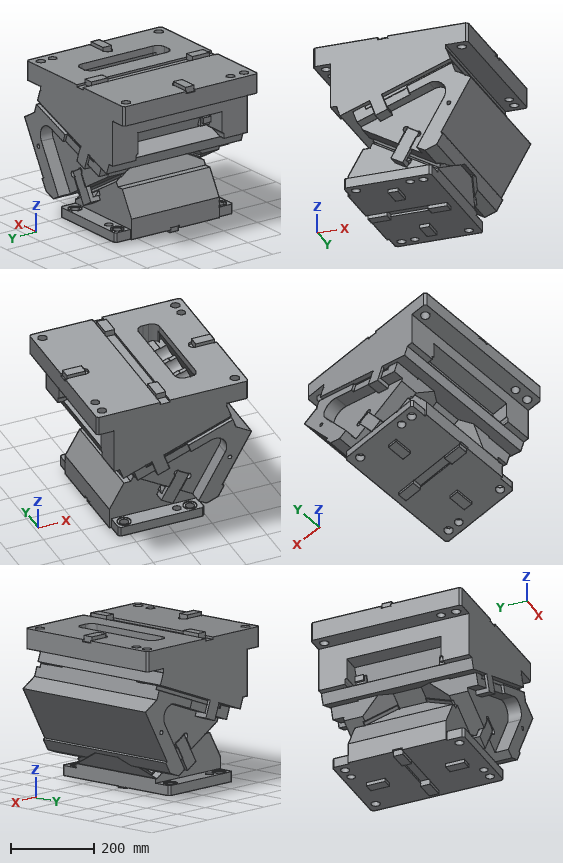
import cadquery as cq
import math


DRIVE_ANGLE = 20
BASE_ANGLE = 30



def along_drive(distance):
    """Line across the driver slideway, at a distance measured along it."""
    return DRIVE_ANGLE, distance


def above_drive(distance):
    """Line parallel to the driver slideway, at a height measured square to it."""
    return DRIVE_ANGLE + 90, distance


def along_base(distance):
    """Line across the base slideway, at a distance measured along it."""
    return -BASE_ANGLE, distance


def above_base(distance):
    """Line parallel to the base slideway, at a height measured square to it."""
    return 90 - BASE_ANGLE, distance


def at_x(distance):
    """Vertical line in the XZ plane."""
    return 0, distance


def at_z(distance):
    """Horizontal line in the XZ plane."""
    return 90, distance


def corner(first, second):
    """XZ point where two lines meet, each given by its normal's angle and its distance from the origin."""
    angle_1, angle_2 = math.radians(first[0]), math.radians(second[0])
    spread = math.sin(angle_2 - angle_1)
    x = (first[1] * math.sin(angle_2) - second[1] * math.sin(angle_1)) / spread
    z = (second[1] * math.cos(angle_1) - first[1] * math.cos(angle_2)) / spread
    return x, z


def outline(*lines):
    """Corners of the closed XZ outline that follows the given lines in order."""
    return [corner(line, lines[i - 1]) for i, line in enumerate(lines)]


def prism(points, y_min, y_max):
    """XZ outline extruded from y_min to y_max."""
    return cq.Workplane("XZ", origin=(0, y_max, 0)).polyline(points).close().extrude(y_max - y_min)


def wide_prism(points, half_width):
    return prism(points, -half_width, half_width)


def both_sides(shape):
    """A shape on the +Y side together with its mirror image."""
    return shape.union(shape.mirror("XZ"))


def block(x_min, x_max, y_min, y_max, z_min, z_max):
    size = (x_max - x_min, y_max - y_min, z_max - z_min)
    return cq.Workplane("XY", origin=(x_min, y_min, z_min)).box(*size, centered=False)


def base_way_prism(points, start, end):
    """Outline of (Y, height above base slideway) extruded along the base slideway."""
    slope = math.radians(BASE_ANGLE)
    direction = cq.Vector(math.cos(slope), 0, -math.sin(slope))
    plane = cq.Plane(origin=direction * start, xDir=(0, 1, 0), normal=direction)
    return cq.Workplane(plane).polyline(points).close().extrude(end - start)



HALF_WIDTH = 200.0
PLATE_LEFT = -180.0
PLATE_RIGHT = 220.0
PLATE_TOP = 375.0
PLATE_THICKNESS = 50.0
CORNER_CHAMFER = 5.5

KEY_WIDTH = 25.5
KEY_LENGTH = 50.0
KEY_PROUD = 9.0
KEY_SLOT_DEPTH = 5.7

DRIVE_WAY = 209.0
DRIVE_END = 262.0

BASE_HALF_WIDTH = 130.2
ROOF_FLAT_HALF_WIDTH = 37.0
ROOF_EAVES = 86.5
ROOF_ANGLE = math.radians(30)
ROOF_SLOPE = math.tan(ROOF_ANGLE)
ROOF_TOP = ROOF_EAVES + (BASE_HALF_WIDTH - ROOF_FLAT_HALF_WIDTH) * ROOF_SLOPE
ROOF_START = -111.0
ROOF_END = 78.8

SLIDER_START = -9.5
RUNNING_CLEARANCE = 2.5
SLIDER_TOP = DRIVE_WAY - RUNNING_CLEARANCE
SLIDER_BOTTOM = 100.0
LEDGE_HALF_WIDTH = 193.0
LEDGE_UNDERSIDE = 175.5
RECESS_HALF_WIDTH = 165.0

HOOK_START = 39.5
HOOK_END = 73.0
HOOK_BOTTOM = 164.0

KEEPER_START = -27.0
KEEPER_END = 7.8
KEEPER_BOTTOM = 61.0
KEEPER_TOP = 146.5
KEEPER_LIP_TOP = 72.5
KEEPER_INNER = 150.5
KEEPER_LIP_INNER = 134.5
KEEPER_OUTER = 162.5



LEFT_KEY_START = -175.5
RIGHT_KEY_START = 164.5
STEM_LEFT = -135.0
STEM_BOTTOM = 210.0
STEM_RIGHT = 163.0
STEM_NECK = 314.7
STEM_START = -41.0
WINDOW_TOP = 279.5
WINDOW_FLOOR = 238.5
WINDOW_BACK = 11.0
WINDOW_HALF_WIDTH = 125.0
WINDOW_FOOT_HALF_WIDTH = BASE_HALF_WIDTH
WINDOW_SHOULDER = 220.0
WINDOW_BLOCK_BACK = -41.0
SLOT_LEFT = 67.0
SLOT_RIGHT = 122.0
SLOT_HALF_LENGTH = 125.5
SLOT_RADIUS = 20.0
UNDERCUT_HALF_LENGTH = 114.5
SLOT_FLOOR = 269.5
SLOT_STEP = 219.2
SLOT_STEP_DEPTH = 1.5
SLOT_BACK = 236.8
BED_RADIUS = 24.0
BED_PITCH = 60.0


def driver_body():
    plate_bottom = PLATE_TOP - PLATE_THICKNESS
    plate = block(PLATE_LEFT, PLATE_RIGHT, -HALF_WIDTH, HALF_WIDTH, plate_bottom, PLATE_TOP)
    plate = plate.edges("|Z").chamfer(CORNER_CHAMFER)
    stem = outline(
        at_x(STEM_LEFT),
        at_z(STEM_BOTTOM),
        along_drive(STEM_START),
        above_drive(DRIVE_WAY),
        along_drive(DRIVE_END),
        at_z(STEM_NECK),
        at_x(STEM_RIGHT),
        at_z(plate_bottom),
    )
    return plate.union(wide_prism(stem, HALF_WIDTH))


def driver_hook():
    """Tongue over the slider's side ledge, with a lip below it."""
    tongue = outline(
        along_drive(HOOK_START),
        above_drive(HOOK_BOTTOM),
        along_drive(HOOK_END),
        above_drive(DRIVE_WAY),
    )
    lip = outline(
        along_drive(HOOK_START),
        above_drive(HOOK_BOTTOM),
        along_drive(HOOK_END),
        above_drive(LEDGE_UNDERSIDE),
    )
    hook = prism(tongue, LEDGE_HALF_WIDTH, HALF_WIDTH).union(prism(lip, RECESS_HALF_WIDTH, HALF_WIDTH))
    return both_sides(hook)


def window_blocks():
    """Stepped blocks in both corners of the window's back wall."""
    top = 254.7
    rear_face, rear_inner, rear_bottom = -84.0, 97.0, 232.5
    front_face, front_inner, front_bottom = -90.0, 102.0, 239.5
    rear_block = block(rear_face, WINDOW_BLOCK_BACK, rear_inner, WINDOW_HALF_WIDTH, rear_bottom, top)
    front_block = block(front_face, WINDOW_BLOCK_BACK, front_inner, WINDOW_HALF_WIDTH, front_bottom, top)
    return both_sides(rear_block.union(front_block))


def driver_window():
    """Opening in the -X side with a rising floor, a back wall square to it and a wider foot."""
    profile = outline(
        at_x(STEM_LEFT),
        at_z(STEM_BOTTOM),
        above_drive(WINDOW_FLOOR),
        along_drive(WINDOW_BACK),
        at_z(WINDOW_TOP),
    )
    radius = WINDOW_FOOT_HALF_WIDTH - WINDOW_HALF_WIDTH
    diagonal = radius * math.sqrt(0.5)
    shoulder = WINDOW_SHOULDER
    opening = (
        cq.Workplane("YZ", origin=(STEM_LEFT, 0, 0))
        .moveTo(-WINDOW_FOOT_HALF_WIDTH, STEM_BOTTOM)
        .lineTo(WINDOW_FOOT_HALF_WIDTH, STEM_BOTTOM)
        .lineTo(WINDOW_FOOT_HALF_WIDTH, shoulder)
        .threePointArc(
            (WINDOW_HALF_WIDTH + diagonal, shoulder + diagonal),
            (WINDOW_HALF_WIDTH, shoulder + radius),
        )
        .lineTo(WINDOW_HALF_WIDTH, WINDOW_TOP)
        .lineTo(-WINDOW_HALF_WIDTH, WINDOW_TOP)
        .lineTo(-WINDOW_HALF_WIDTH, shoulder + radius)
        .threePointArc(
            (-WINDOW_HALF_WIDTH - diagonal, shoulder + diagonal),
            (-WINDOW_FOOT_HALF_WIDTH, shoulder),
        )
        .close()
        .extrude(PLATE_RIGHT - STEM_LEFT)
    )
    return wide_prism(profile, WINDOW_FOOT_HALF_WIDTH).intersect(opening).cut(window_blocks())


def drive_cylinder(y, height, radius, start, end):
    """Cylinder along the driver slideway, with its axis at a given height above it."""
    slope = math.radians(DRIVE_ANGLE)
    x, z = corner(along_drive(start), above_drive(height))
    direction = cq.Vector(math.cos(slope), 0, math.sin(slope))
    return cq.Workplane(cq.Solid.makeCylinder(radius, end - start, cq.Vector(x, y, z), direction))


def driver_slot():
    """Round-cornered slot in the top, with a rising floor, an undercut +X wall and three spring beds."""
    space = outline(
        at_x(SLOT_LEFT),
        above_drive(SLOT_FLOOR),
        along_drive(SLOT_STEP),
        above_drive(SLOT_FLOOR - SLOT_STEP_DEPTH),
        along_drive(SLOT_BACK),
        at_x(SLOT_RIGHT),
        at_z(PLATE_TOP),
    )
    shaft = block(
        SLOT_LEFT, SLOT_RIGHT, -SLOT_HALF_LENGTH, SLOT_HALF_LENGTH, STEM_BOTTOM, PLATE_TOP
    ).edges("|Z").fillet(SLOT_RADIUS)
    undercut = outline(at_x(SLOT_RIGHT), above_drive(SLOT_FLOOR - SLOT_STEP_DEPTH), along_drive(SLOT_BACK))
    cavity = shaft.intersect(wide_prism(space, SLOT_HALF_LENGTH))
    cavity = cavity.union(wide_prism(undercut, UNDERCUT_HALF_LENGTH))
    bed_limits = block(
        SLOT_LEFT, PLATE_RIGHT, -SLOT_HALF_LENGTH, SLOT_HALF_LENGTH, STEM_BOTTOM, PLATE_TOP
    )
    bed_start = SLOT_STEP - 2 * (SLOT_RIGHT - SLOT_LEFT)
    for row in (-1, 0, 1):
        bed = drive_cylinder(row * BED_PITCH, SLOT_FLOOR, BED_RADIUS, bed_start, SLOT_BACK)
        cavity = cavity.union(bed.intersect(bed_limits))
    return cavity


def driver_holes():
    bolt_y = 175.0
    left_x, right_x = -155.5, 195.0
    left_dowel_y, right_dowel_y = -135.0, 140.5
    bolt_diameter, dowel_diameter = 22.5, 21.0
    bolts = [(x, y) for x in (left_x, right_x) for y in (-bolt_y, bolt_y)]
    dowels = [(left_x, left_dowel_y), (right_x, right_dowel_y)]
    plane = cq.Workplane("XY", origin=(0, 0, PLATE_TOP))
    return (
        plane.pushPoints(bolts).circle(bolt_diameter / 2).extrude(-PLATE_THICKNESS)
        .union(plane.pushPoints(dowels).circle(dowel_diameter / 2).extrude(-PLATE_THICKNESS))
    )


def driver_key_slots():
    half_key = KEY_WIDTH / 2
    bottom = PLATE_TOP - KEY_SLOT_DEPTH
    slots = block(-half_key, half_key, -HALF_WIDTH, HALF_WIDTH, bottom, PLATE_TOP)
    for inner_x, edge_x in ((LEFT_KEY_START + KEY_LENGTH, PLATE_LEFT), (RIGHT_KEY_START, PLATE_RIGHT)):
        x_min, x_max = sorted((inner_x, edge_x))
        slots = slots.union(block(x_min, x_max, -half_key, half_key, bottom, PLATE_TOP))
        round_end = cq.Workplane("XY", origin=(inner_x, 0, bottom)).circle(half_key).extrude(KEY_SLOT_DEPTH)
        slots = slots.union(round_end)
    return slots


def driver_keys():
    half_key = KEY_WIDTH / 2
    bottom = PLATE_TOP - KEY_SLOT_DEPTH
    top = PLATE_TOP + KEY_PROUD
    cross_inner = 125.5
    keys = both_sides(block(-half_key, half_key, cross_inner, cross_inner + KEY_LENGTH, bottom, top))
    for x_min in (LEFT_KEY_START, RIGHT_KEY_START):
        keys = keys.union(block(x_min, x_min + KEY_LENGTH, -half_key, half_key, bottom, top))
    return keys


def make_driver():
    return (
        driver_body()
        .union(driver_hook())
        .cut(driver_window())
        .cut(driver_slot())
        .cut(driver_holes())
        .cut(driver_key_slots())
        .union(driver_keys())
    )



BACK_WALL = 83.5
BACK_TOP = 311.5
BACK_STEP = 156.8
BACK_STEP_OUT = 5.7
TAIL_UNDERSIDE = 12.0
RECESS_WALL = 44.0
RECESS_RADIUS = 31.0
BAND_BOTTOM = 196.8
BAND_START = 23.0
BAND_HALF_WIDTH = 190.0
CHEEK_START = 137.0
GROOVE_CLEARANCE = 4.0
WEAR_PLATE_THICKNESS = 9.0
WEAR_PLATE_OUTER = 116.8
WEAR_PLATE_START = -120.0
WEAR_PAD_HALF_WIDTH = 122.5


def slider_body():
    profile = outline(
        along_drive(SLIDER_START),
        above_drive(SLIDER_TOP),
        along_drive(DRIVE_END),
        above_base(BACK_TOP),
        along_base(BACK_WALL),
        above_base(BACK_STEP),
        along_base(BACK_WALL + BACK_STEP_OUT),
        above_drive(TAIL_UNDERSIDE),
        above_base(SLIDER_BOTTOM),
    )
    pad = outline(
        along_drive(SLIDER_START),
        above_drive(SLIDER_TOP),
        along_drive(DRIVE_END),
        above_drive(DRIVE_WAY),
    )
    return wide_prism(profile, HALF_WIDTH).union(wide_prism(pad, WEAR_PAD_HALF_WIDTH))


def slider_side_cuts():
    """Recess below the ledge, narrowed ledge for the hook, and thin band along the slide face."""
    recess = prism(
        outline(
            along_drive(SLIDER_START),
            above_drive(LEDGE_UNDERSIDE),
            along_base(RECESS_WALL),
            above_base(KEEPER_BOTTOM),
        ),
        RECESS_HALF_WIDTH,
        HALF_WIDTH,
    ).edges("|Y").edges(">X").fillet(RECESS_RADIUS)
    ledge = outline(
        along_drive(SLIDER_START),
        above_drive(LEDGE_UNDERSIDE),
        along_drive(CHEEK_START),
        above_drive(DRIVE_WAY),
    )
    band = outline(
        along_drive(BAND_START),
        above_drive(BAND_BOTTOM),
        along_drive(DRIVE_END),
        above_drive(DRIVE_WAY),
    )
    cuts = recess.union(prism(ledge, LEDGE_HALF_WIDTH, HALF_WIDTH))
    cuts = cuts.union(prism(band, BAND_HALF_WIDTH, HALF_WIDTH))
    pin_x, pin_z, pin_radius, pin_depth = 171.0, 169.0, 5.0, 35.0
    pin_hole = (
        cq.Workplane("XZ", origin=(pin_x, HALF_WIDTH, pin_z)).circle(pin_radius).extrude(pin_depth)
    )
    return both_sides(cuts.union(pin_hole))


def roof_height(y, offset):
    """Height at y of the sloping roof face, raised by an offset square to it."""
    return ROOF_EAVES + (BASE_HALF_WIDTH - y) * ROOF_SLOPE + offset * math.hypot(1, ROOF_SLOPE)


def slider_groove():
    """Roof-shaped groove along the base slideway."""
    y_top = ROOF_FLAT_HALF_WIDTH
    y_low = HALF_WIDTH
    low = roof_height(y_low, GROOVE_CLEARANCE)
    top = roof_height(y_top, GROOVE_CLEARANCE)
    points = [(-y_low, low), (-y_top, top), (y_top, top), (y_low, low)]
    return base_way_prism(points, -2 * HALF_WIDTH, 2 * HALF_WIDTH)


def slider_wear_plates():
    """Plates on both groove slopes that rest on the roof."""
    roof_rise = WEAR_PLATE_THICKNESS * math.hypot(1, ROOF_SLOPE)
    shift = WEAR_PLATE_THICKNESS * math.sin(ROOF_ANGLE)
    edge_rise = WEAR_PLATE_THICKNESS * math.cos(ROOF_ANGLE)
    low, high = roof_height(WEAR_PLATE_OUTER, 0), ROOF_TOP
    points = [
        (WEAR_PLATE_OUTER, low),
        (ROOF_FLAT_HALF_WIDTH, high),
        (ROOF_FLAT_HALF_WIDTH, high + roof_rise),
        (WEAR_PLATE_OUTER + shift, low + edge_rise),
    ]
    return both_sides(base_way_prism(points, WEAR_PLATE_START, ROOF_END))


def slider_keepers():
    """L-shaped keepers whose lips reach under the base's side catches."""
    points = [
        (KEEPER_OUTER, KEEPER_TOP),
        (KEEPER_OUTER, KEEPER_BOTTOM),
        (KEEPER_LIP_INNER, KEEPER_BOTTOM),
        (KEEPER_LIP_INNER, KEEPER_LIP_TOP),
        (KEEPER_INNER, KEEPER_LIP_TOP),
        (KEEPER_INNER, KEEPER_TOP),
    ]
    return both_sides(base_way_prism(points, KEEPER_START, KEEPER_END))


def keeper_pockets():
    """Pockets in the recess floor that the keepers sit in, with round corner reliefs."""
    radius, drop = 7.5, 5.7
    pocket = outline(
        along_base(KEEPER_START),
        above_base(KEEPER_BOTTOM),
        along_base(KEEPER_END),
        above_base(KEEPER_TOP),
    )
    centres = [
        corner(along_base(u), above_base(KEEPER_TOP - drop)) for u in (KEEPER_START, KEEPER_END)
    ]
    reliefs = (
        cq.Workplane("XZ", origin=(0, RECESS_HALF_WIDTH, 0)).pushPoints(centres).circle(radius)
        .extrude(RECESS_HALF_WIDTH - KEEPER_INNER)
    )
    return both_sides(reliefs.union(prism(pocket, KEEPER_INNER, RECESS_HALF_WIDTH)))


def make_slider():
    return (
        slider_body()
        .cut(slider_side_cuts())
        .cut(slider_groove())
        .cut(keeper_pockets())
        .union(slider_wear_plates())
        .union(slider_keepers())
    )



BASE_LEFT = -116.0
BASE_RIGHT = 115.5
BASE_NOSE = 53.0
BASE_SHELF = 118.8
BASE_SHELF_LEFT = -77.5
BASE_RIGHT_KEY_START = 44.5
CATCH_HALF_WIDTH = 145.7
CATCH_TOP = 85.0
FLANGE_LEFT = -110.5
FLANGE_HALF_WIDTH = 175.0
FLANGE_THICKNESS = 25.0


def base_body():
    """Block with a nose and shelf at -X, topped by a sloping roof-shaped slideway."""
    roof_foot = corner(along_base(ROOF_END), above_base(ROOF_EAVES))
    profile = [
        (BASE_LEFT, 0),
        (BASE_RIGHT, 0),
        (BASE_RIGHT, roof_foot[1]),
        roof_foot,
        corner(along_base(ROOF_END), above_base(ROOF_TOP)),
        corner(along_base(ROOF_START), above_base(ROOF_TOP)),
        corner(along_base(ROOF_START), at_z(BASE_SHELF)),
        (BASE_SHELF_LEFT, BASE_SHELF),
        (BASE_LEFT, BASE_NOSE),
    ]
    body = wide_prism(profile, BASE_HALF_WIDTH)
    roof_side = [
        (BASE_HALF_WIDTH, ROOF_EAVES),
        (ROOF_FLAT_HALF_WIDTH, ROOF_TOP),
        (BASE_HALF_WIDTH, ROOF_TOP),
    ]
    return body.cut(both_sides(base_way_prism(roof_side, ROOF_START, ROOF_END)))


def base_flange():
    flange = block(
        FLANGE_LEFT, BASE_RIGHT, -FLANGE_HALF_WIDTH, FLANGE_HALF_WIDTH, 0, FLANGE_THICKNESS
    )
    return flange.edges("|Z").chamfer(CORNER_CHAMFER)


def base_catches():
    """Short triangular rails held by the keeper lips."""
    points = [
        (BASE_HALF_WIDTH, KEEPER_LIP_TOP),
        (CATCH_HALF_WIDTH, KEEPER_LIP_TOP),
        (BASE_HALF_WIDTH, CATCH_TOP),
    ]
    return both_sides(base_way_prism(points, KEEPER_START, KEEPER_END))


def base_holes():
    bolt_x, hole_y = 87.0, 152.0
    dowel_x = 52.5
    bolt_radius, dowel_radius = 11.0, 10.2
    counterbore_radius, counterbore_depth = 16.7, 2.0
    bolts = [(x, y) for x in (-bolt_x, bolt_x) for y in (-hole_y, hole_y)]
    dowels = [(dowel_x, -hole_y), (-dowel_x, hole_y)]
    plane = cq.Workplane("XY")
    top = cq.Workplane("XY", origin=(0, 0, FLANGE_THICKNESS))
    return (
        plane.pushPoints(bolts).circle(bolt_radius).extrude(FLANGE_THICKNESS)
        .union(plane.pushPoints(dowels).circle(dowel_radius).extrude(FLANGE_THICKNESS))
        .union(top.pushPoints(bolts).circle(counterbore_radius).extrude(-counterbore_depth))
    )


def base_key_slot():
    half_key = KEY_WIDTH / 2
    return block(BASE_LEFT, BASE_RIGHT_KEY_START + KEY_LENGTH, -half_key, half_key, 0, KEY_SLOT_DEPTH)


def base_keys():
    half_key = KEY_WIDTH / 2
    cross_inner = 80.5
    keys = both_sides(block(-half_key, half_key, cross_inner, cross_inner + KEY_LENGTH, -KEY_PROUD, 0))
    for x_min in (FLANGE_LEFT, BASE_RIGHT_KEY_START):
        key = block(x_min, x_min + KEY_LENGTH, -half_key, half_key, -KEY_PROUD, KEY_SLOT_DEPTH)
        keys = keys.union(key)
    return keys


def make_base():
    return (
        base_body()
        .union(base_flange())
        .union(base_catches())
        .cut(base_holes())
        .cut(base_key_slot())
        .union(base_keys())
    )



driver = make_driver()
slider = make_slider()
base = make_base()
result = cq.Compound.makeCompound([driver.val(), slider.val(), base.val()])